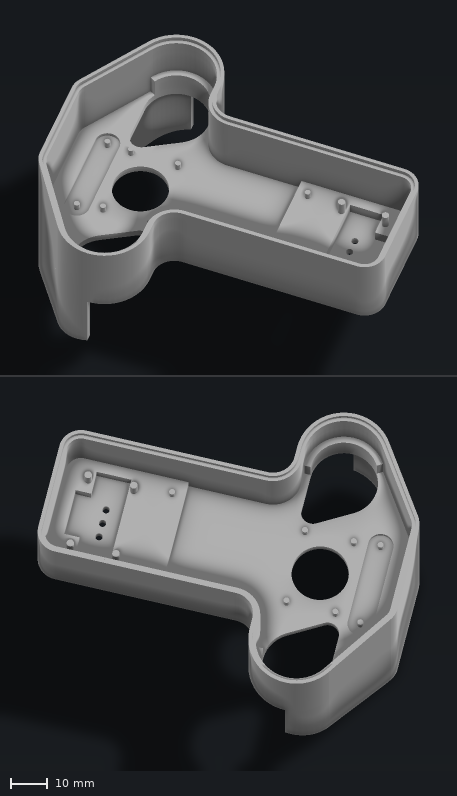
import cadquery as cq
import math

length = 100.0
housing_height = 21.0
skirt_depth = 25.0
wall = 2.0
floor = 2.0

lobe_x = 24.5
lobe_y = 27.0
lobe_radius = 13.0
nose_radius = 6.0
nose_y = 12.0
handle_half_width = 18.0
handle_corner_radius = 6.0
neck_radius = 6.0

rim_step_width = 1.0
rim_step_depth = 1.2

teardrop_diameter = 18.5
teardrop_tip_radius = 3.2
teardrop_angle = 60.0
collar_height = 6.0
collar_end_angle = 150.0
lens_hole_diameter = 15.5

plinth_x = 65.0
plinth_height = 3.0
pocket_x = 80.2
pocket_length = 9.7
pocket_width = 26.0
pocket_tab_length = 4.3
pocket_tab_width = 13.0
wire_hole_diameter = 2.0
wire_hole_pitch = 4.0

slot_x = 10.5
slot_width = 7.0
slot_length = 30.0
slot_depth = 1.0

pin_diameter = 1.6
pin_height = 2.0
end_pin_y = 11.5
plinth_pin_x = 68.5
lens_pin_dx = 6.8
lens_pin_dy = 10.5
post_diameter = 2.0
post_height = 4.0
post_center_x = 85.2
post_span_x = 12.7
post_span_y = 20.3

skirt_slope = 20.0
skirt_slope_x = 2.0

teardrop_radius = teardrop_diameter / 2
plinth_top = floor + plinth_height
nose_to_lobe_x = lobe_x - nose_radius
nose_to_lobe_y = lobe_y - nose_y
center_distance = math.hypot(nose_to_lobe_x, nose_to_lobe_y)
slant_normal = (
    math.atan2(nose_to_lobe_y, nose_to_lobe_x)
    + math.pi / 2
    + math.asin((lobe_radius - nose_radius) / center_distance)
)


def polar(center, radius, angle):
    """Point on a circle at an angle in radians."""
    return (center[0] + radius * math.cos(angle), center[1] + radius * math.sin(angle))


def mirror(point):
    """Reflect a point about Y = 0."""
    return (point[0], -point[1])


def trace(start, segments):
    """Closed wire from (end,) lines and (middle, end) arcs."""
    wire = cq.Workplane("XY").moveTo(*start)
    for segment in segments:
        if len(segment) == 1:
            wire = wire.lineTo(*segment[0])
        else:
            wire = wire.threePointArc(*segment)
    return wire.close()


def half_outline(inset):
    """Upper half of the outline, left to right, offset inwards by inset."""
    nose = (nose_radius, nose_y)
    lobe = (lobe_x, lobe_y)
    neck = (lobe_x + lobe_radius + neck_radius, handle_half_width + neck_radius)
    corner = (length - handle_corner_radius, handle_half_width - handle_corner_radius)
    nose_r = nose_radius - inset
    lobe_r = lobe_radius - inset
    neck_r = neck_radius + inset
    corner_r = handle_corner_radius - inset
    start = polar(nose, nose_r, math.pi)
    segments = [
        (polar(nose, nose_r, (math.pi + slant_normal) / 2), polar(nose, nose_r, slant_normal)),
        (polar(lobe, lobe_r, slant_normal),),
        (polar(lobe, lobe_r, slant_normal / 2), polar(lobe, lobe_r, 0)),
        (polar(neck, neck_r, math.pi),),
        (polar(neck, neck_r, 1.25 * math.pi), polar(neck, neck_r, 1.5 * math.pi)),
        (polar(corner, corner_r, math.pi / 2),),
        (polar(corner, corner_r, math.pi / 4), polar(corner, corner_r, 0)),
    ]
    return start, segments


def outline_prism(inset, bottom, top):
    """Vertical prism over the whole inset outline."""
    start, upper = half_outline(inset)
    starts = [start] + [segment[-1] for segment in upper[:-1]]
    lower = [
        tuple(mirror(point) for point in segment[:-1]) + (mirror(begin),)
        for begin, segment in zip(reversed(starts), reversed(upper))
    ]
    crossing = (mirror(upper[-1][-1]),)
    wire = trace(start, upper + [crossing] + lower)
    return wire.extrude(top - bottom).translate((0, 0, bottom))


def cylinders(points, diameter, bottom, height):
    """Equal upright cylinders at the given points."""
    disks = cq.Workplane("XY").workplane(offset=bottom).pushPoints(points)
    return disks.circle(diameter / 2).extrude(height)


def pair(x, y):
    """Two points mirrored about Y = 0."""
    return [(x, y), (x, -y)]


def teardrop_cutter():
    """Teardrop through the floor under the +Y lobe, its tip toward the middle."""
    direction = math.radians(teardrop_angle)
    lobe = (lobe_x, lobe_y)
    spacing = (teardrop_radius - teardrop_tip_radius) / math.cos(direction)
    tip = polar(lobe, -spacing, direction)
    right = 2 * direction - math.pi
    start = polar(tip, teardrop_tip_radius, math.pi)
    return trace(start, [
        (polar(lobe, teardrop_radius, math.pi),),
        (polar(lobe, teardrop_radius, direction), polar(lobe, teardrop_radius, right)),
        (polar(tip, teardrop_tip_radius, right),),
        (polar(tip, teardrop_tip_radius, direction + math.pi), start),
    ]).extrude(floor)


def collar():
    """Raised arc lining the +Y lobe, its outer edge buried in the wall."""
    lobe = (lobe_x, lobe_y)
    outer = lobe_radius - wall / 2
    end = math.radians(collar_end_angle)
    return trace(polar(lobe, outer, 0), [
        (polar(lobe, outer, end / 2), polar(lobe, outer, end)),
        (polar(lobe, teardrop_radius, end),),
        (polar(lobe, teardrop_radius, end / 2), polar(lobe, teardrop_radius, 0)),
    ]).extrude(collar_height).translate((0, 0, floor))


def plinth():
    """Raised floor of the handle end, with its stepped pocket."""
    block = (
        cq.Workplane("XY")
        .box(length - plinth_x, 2 * handle_half_width, plinth_top, centered=(False, True, False))
        .translate((plinth_x, 0, 0))
    )
    block = block.intersect(outline_prism(wall, 0, plinth_top))
    for size_x, size_y in (
        (pocket_length, pocket_width),
        (pocket_length + pocket_tab_length, pocket_tab_width),
    ):
        pocket = cq.Workplane("XY").box(size_x, size_y, plinth_height, centered=(False, True, False))
        block = block.cut(pocket.translate((pocket_x, 0, floor)))
    return block


def build_housing():
    """Open tray with floor openings, collars, plinth, pins and posts."""
    body = outline_prism(0, 0, housing_height)
    body = body.cut(outline_prism(wall, floor, housing_height))
    body = body.cut(
        outline_prism(rim_step_width, housing_height - rim_step_depth, housing_height)
    )
    body = body.union(plinth())

    upper_collar = collar()
    body = body.union(upper_collar).union(upper_collar.mirror("XZ"))

    upper_teardrop = teardrop_cutter()
    lower_teardrop = upper_teardrop.rotate((lobe_x, 0, 0), (lobe_x, 0, 1), 180)
    body = body.cut(upper_teardrop).cut(lower_teardrop)
    body = body.cut(cylinders([(lobe_x, 0)], lens_hole_diameter, 0, floor))

    wire_hole_x = pocket_x + pocket_length / 2
    wire_holes = [(wire_hole_x, step * wire_hole_pitch) for step in (-1, 0, 1)]
    body = body.cut(cylinders(wire_holes, wire_hole_diameter, 0, floor))

    slot_floor = floor - slot_depth
    slot = (
        cq.Workplane("XY")
        .workplane(offset=slot_floor)
        .center(slot_x, 0)
        .slot2D(slot_length, slot_width, 90)
        .extrude(slot_depth)
    )
    body = body.cut(slot)

    lens_pins = pair(lobe_x - lens_pin_dx, lens_pin_dy) + pair(lobe_x + lens_pin_dx, lens_pin_dy)
    post_y = post_span_y / 2
    posts = pair(post_center_x - post_span_x / 2, post_y) + pair(post_center_x + post_span_x / 2, post_y)
    for points, diameter, bottom, height in (
        (pair(slot_x, end_pin_y), pin_diameter, slot_floor, pin_height),
        (lens_pins, pin_diameter, floor, pin_height),
        (pair(plinth_pin_x, end_pin_y), pin_diameter, plinth_top, pin_height),
        (posts, post_diameter, plinth_top, post_height),
    ):
        body = body.union(cylinders(points, diameter, bottom, height))
    return body


def build_skirt():
    """Wall under the left half of the housing, its bottom cut on a slope."""
    shell = outline_prism(0, -skirt_depth, 0).cut(outline_prism(wall, -skirt_depth, 0))
    slope_rise = (lobe_x - skirt_slope_x) * math.tan(math.radians(skirt_slope))
    profile = (
        cq.Workplane("XZ")
        .polyline([
            (0, 0),
            (0, -skirt_depth),
            (skirt_slope_x, -skirt_depth),
            (lobe_x, slope_rise - skirt_depth),
            (lobe_x, 0),
        ])
        .close()
        .extrude(lobe_y + lobe_radius, both=True)
    )
    return shell.intersect(profile)


housing = build_housing()
skirt = build_skirt()

result = cq.Compound.makeCompound([housing.val(), skirt.val()])